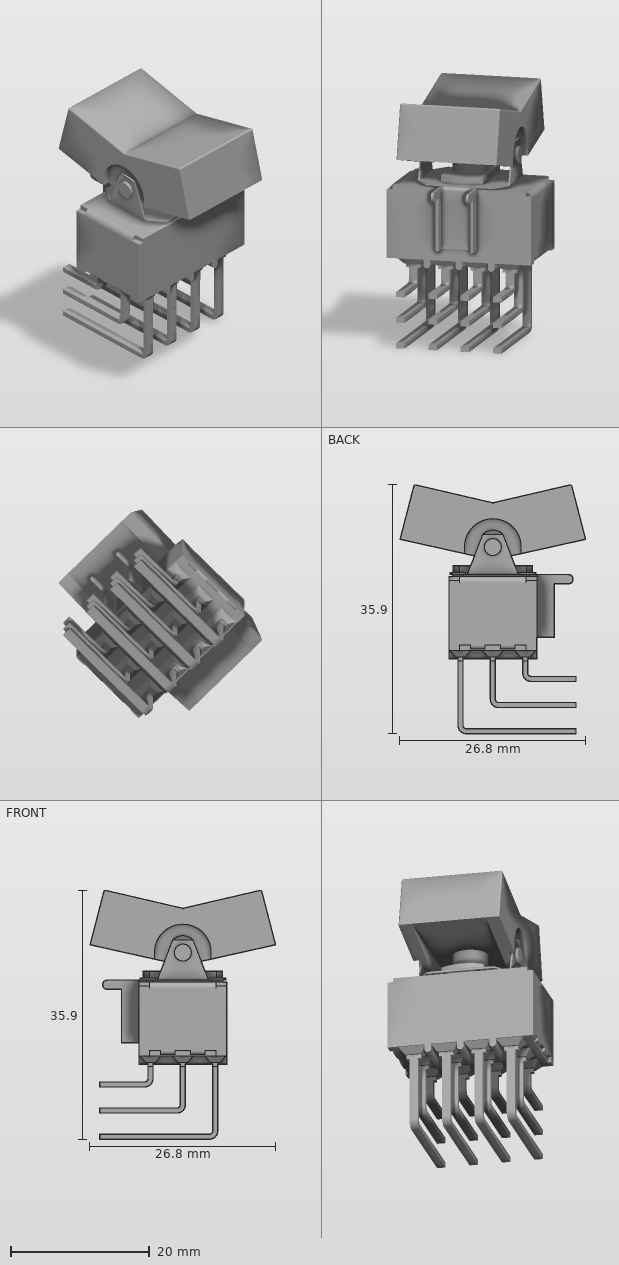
import cadquery as cq


overall_height = 35.92

body_length = 12.7
body_width = 21.6
body_bottom = 12.05
body_top = 22.65
top_edge_radius = 0.85
corner_column = 1.55
corner_notch_height = 0.57
foot_recess_depth = 0.45
foot_recess_top = 12.82
foot_tab_length = 2.1
foot_tab_offset = 2.15
foot_tab_bottom = 12.25
foot_tab_radius = 0.43

terminal_rows = 3
terminal_columns = 4
row_pitch = 4.67
column_pitch = 4.8
bend_pitch = 3.77
terminal_thickness = 0.75
terminal_width = 1.25
terminal_tip_x = -12.0
bend_inner_radius = 0.45
shoulder_width = 2.12
shoulder_bottom = 10.52
pad_bottom = 11.1
pad_top_size = (3.05, 4.02)
pad_bottom_size = (1.45, 2.37)
rib_width = 0.97
rib_bottom = 10.8
rib_bottom_radius = 0.45

clip_sheet = 0.4
clip_width = 5.6
clip_arm_x = -8.87
clip_hook_x = -11.55
clip_hook_height = 1.35
clip_hook_tip_radius = 0.65
clip_bottom = 13.9
clip_top = 23.0
clip_bend_outer_radius = 0.32
clip_bend_inner_radius = 0.25
clip_top_bend_radius = 0.57
clip_plate_half_length = 5.82
clip_plate_width = 6.97
clip_plate_chamfer = 1.58

bracket_sheet = 0.25
bracket_width = 13.72
bracket_length = 12.43
bracket_waist_width = 10.05
bracket_foot = 7.4
bracket_tip = 2.9
bracket_top = 28.77
bracket_bend_radius = 0.18
lip_top = 29.4
lip_reach = 0.43

flange_diameter = 11.5
flange_width = 6.25
flange_top = 24.28
bushing_diameter = 5.2
bushing_top = 27.6

pivot_z = 26.95
rocker_width = 14.98
rocker_tip_x = 13.4
rocker_tip_z = 28.05
rocker_peak_x = 11.35
rocker_rounding_loss = 0.05
rocker_peak_z = overall_height + rocker_rounding_loss
rocker_valley_z = 33.35
rocker_keel_z = 25.07
rocker_edge_radius = 0.25
cheek_thickness = 1.98
recess_radius = 4.1
recess_depth = 0.97
pin_diameter = 2.45
pin_reach = 7.35


def box(x_range, y_range, z_range):
    """Axis-aligned block between the given limits."""
    size = [high - low for low, high in (x_range, y_range, z_range)]
    corner = (x_range[0], y_range[0], z_range[0])
    return cq.Workplane("XY").box(*size, centered=False).translate(corner)


def both_sides(shape):
    """The shape together with its mirror image across Y = 0."""
    return shape.union(shape.mirror("XZ"))


def along_y(sketch_points, y_start, y_end):
    """Prism with an XZ outline between two Y positions."""
    outline = cq.Workplane("XZ", origin=(0, y_start, 0)).polyline(sketch_points).close()
    return outline.extrude(y_start - y_end)


def make_housing():
    half_length = body_length / 2
    half_width = body_width / 2
    panel = half_length - corner_column
    body = box((-half_length, half_length), (-half_width, half_width), (body_bottom, body_top))
    body = body.edges(">Z and |X").fillet(top_edge_radius)

    front = -half_width
    notch_floor = body_top - corner_notch_height
    notch_y = (front, front + top_edge_radius)
    for x_start in (-half_length, panel):
        column_x = (x_start, x_start + corner_column)
        column_head = box(column_x, notch_y, (body_top - top_edge_radius, notch_floor))
        notch = box(column_x, notch_y, (notch_floor, body_top))
        body = body.union(both_sides(column_head)).cut(both_sides(notch))

    foot_y = (front, front + foot_recess_depth)
    body = body.cut(both_sides(box((-panel, panel), foot_y, (body_bottom, foot_recess_top))))
    for x in (-foot_tab_offset, foot_tab_offset):
        tab_x = (x - foot_tab_length / 2, x + foot_tab_length / 2)
        tab = box(tab_x, foot_y, (foot_tab_bottom, foot_recess_top))
        tab = tab.edges("<Y and <Z").fillet(foot_tab_radius)
        body = body.union(both_sides(tab))
    return body


def make_ribs():
    """Rounded ribs under the housing, midway between the terminal columns."""
    half_length = body_length / 2
    ribs = cq.Workplane("XY")
    for gap in range(terminal_columns - 1):
        y = (gap - (terminal_columns - 2) / 2) * column_pitch
        rib = box(
            (-half_length, half_length),
            (y - rib_width / 2, y + rib_width / 2),
            (rib_bottom, body_bottom),
        )
        ribs = ribs.add(rib.edges("<Z and |X").fillet(rib_bottom_radius))
    return ribs.combine()


def make_terminal(x, foot_z):
    """One bent terminal with its shoulder and tapered pad, centred on Y = 0."""
    right = x + terminal_thickness / 2
    left = x - terminal_thickness / 2
    foot_top = foot_z + terminal_thickness
    bend_outer_radius = bend_inner_radius + terminal_thickness
    outline = [
        (left, body_bottom),
        (right, body_bottom),
        (right, foot_z),
        (terminal_tip_x, foot_z),
        (terminal_tip_x, foot_top),
        (left, foot_top),
    ]
    lead = along_y(outline, -terminal_width / 2, terminal_width / 2)
    lead = lead.edges(cq.selectors.NearestToPointSelector((right, 0, foot_z))).fillet(bend_outer_radius)
    lead = lead.edges(cq.selectors.NearestToPointSelector((left, 0, foot_top))).fillet(bend_inner_radius)

    shoulder = box(
        (left, right),
        (-shoulder_width / 2, shoulder_width / 2),
        (shoulder_bottom, body_bottom),
    )
    pad = (
        cq.Workplane("XY", origin=(x, 0, body_bottom))
        .rect(*pad_top_size)
        .workplane(offset=pad_bottom - body_bottom)
        .rect(*pad_bottom_size)
        .loft(ruled=True)
    )
    return lead.union(shoulder).union(pad)


def make_terminals():
    terminals = cq.Workplane("XY")
    for row in range(terminal_rows):
        x = (row - (terminal_rows - 1) / 2) * row_pitch
        foot_z = (terminal_rows - 1 - row) * bend_pitch
        terminal = make_terminal(x, foot_z)
        for column in range(terminal_columns):
            y = (column - (terminal_columns - 1) / 2) * column_pitch
            terminals = terminals.add(terminal.translate((0, y, 0)))
    return terminals.combine()


def make_clip():
    """U-shaped clip on the -X wall with two hooked arms, and its plate over the housing."""
    wall = -body_length / 2
    half_width = clip_width / 2
    channel = box((clip_arm_x, wall), (-half_width, half_width), (clip_bottom, clip_top))
    channel = channel.edges("|Z and >X").fillet(clip_bend_outer_radius)
    inner_half = half_width - clip_sheet
    hollow = box((clip_arm_x, wall - clip_sheet), (-inner_half, inner_half), (clip_bottom, clip_top))
    hollow = hollow.edges("|Z and >X").fillet(clip_bend_inner_radius)
    channel = channel.cut(hollow)

    bend_z = (body_top - clip_top_bend_radius, clip_top)
    channel = channel.cut(box((wall - clip_sheet, wall), (-inner_half, inner_half), bend_z))
    bridge = box((wall - clip_sheet, 0), (-inner_half, inner_half), bend_z)
    bridge = bridge.edges("|Y and <X and >Z").fillet(clip_top_bend_radius)

    hook = box(
        (clip_hook_x, clip_arm_x),
        (-half_width, -inner_half),
        (clip_top - clip_hook_height, clip_top),
    )
    hook = hook.edges("|Y and <X").fillet(clip_hook_tip_radius)

    plate = box(
        (-clip_plate_half_length, clip_plate_half_length),
        (-clip_plate_width / 2, clip_plate_width / 2),
        (body_top, clip_top),
    )
    plate = plate.edges("|Z").chamfer(clip_plate_chamfer)
    return channel.union(both_sides(hook)).union(plate).union(bridge)


def make_bracket():
    """Sheet strap over the clip plate with a tapered, outward-lipped upright at each end."""
    half_length = bracket_length / 2
    half_width = bracket_width / 2
    half_waist = bracket_waist_width / 2
    half_foot = bracket_foot / 2
    half_tip = bracket_tip / 2
    base_points = [
        (half_length, -half_waist),
        (half_length, half_waist),
        (half_foot, half_width),
        (-half_foot, half_width),
        (-half_length, half_waist),
        (-half_length, -half_waist),
        (-half_foot, -half_width),
        (half_foot, -half_width),
    ]
    base = cq.Workplane("XY", origin=(0, 0, clip_top)).polyline(base_points).close()
    base = base.extrude(bracket_sheet)
    upright_points = [
        (-half_foot, clip_top),
        (half_foot, clip_top),
        (half_tip, bracket_top),
        (-half_tip, bracket_top),
    ]
    upright = along_y(upright_points, -half_width, -half_width + bracket_sheet)
    upright = upright.edges("<Y and <Z").fillet(bracket_bend_radius)
    base = base.intersect(box(
        (-half_length, half_length),
        (-half_width + bracket_bend_radius, half_width - bracket_bend_radius),
        (clip_top, bracket_top),
    ))

    lip_outline = (
        cq.Workplane("XZ", origin=(0, -half_width + bracket_sheet, 0))
        .moveTo(-half_tip, bracket_top)
        .threePointArc((0, lip_top), (half_tip, bracket_top))
        .close()
        .extrude(bracket_sheet + lip_reach)
    )
    lip_sheet = (
        cq.Workplane("YZ", origin=(-half_tip, 0, 0))
        .moveTo(-half_width, bracket_top)
        .lineTo(-half_width - lip_reach, lip_top)
        .lineTo(-half_width - lip_reach + bracket_sheet, lip_top)
        .lineTo(-half_width + bracket_sheet, bracket_top)
        .close()
        .extrude(bracket_tip)
    )
    upright = upright.union(lip_outline.intersect(lip_sheet))
    return base.union(both_sides(upright))


def make_bushing():
    """Barrel on a round flange that is trimmed flat on both Y sides."""
    base_z = clip_top
    flange = cq.Workplane("XY", origin=(0, 0, base_z)).circle(flange_diameter / 2)
    flange = flange.extrude(flange_top - base_z)
    trim = box(
        (-flange_diameter, flange_diameter),
        (-flange_width / 2, flange_width / 2),
        (base_z, flange_top),
    )
    barrel = cq.Workplane("XY", origin=(0, 0, base_z)).circle(bushing_diameter / 2)
    barrel = barrel.extrude(bushing_top - base_z)
    return flange.intersect(trim).union(barrel)


def make_rocker():
    """V-shaped rocker with two cheeks, each recessed around the pivot."""
    half_width = rocker_width / 2
    outline = [
        (0, rocker_keel_z),
        (rocker_tip_x, rocker_tip_z),
        (rocker_peak_x, rocker_peak_z),
        (0, rocker_valley_z),
        (-rocker_peak_x, rocker_peak_z),
        (-rocker_tip_x, rocker_tip_z),
    ]
    rocker = along_y(outline, -half_width, half_width)
    upper_edges = cq.selectors.BoxSelector(
        (-rocker_tip_x, -rocker_width, rocker_tip_z + rocker_edge_radius),
        (rocker_tip_x, rocker_width, rocker_peak_z + rocker_edge_radius),
    )
    valley = cq.selectors.BoxSelector(
        (-rocker_edge_radius, -rocker_edge_radius, rocker_keel_z),
        (rocker_edge_radius, rocker_edge_radius, rocker_peak_z),
    )
    rocker = rocker.edges(upper_edges - valley).fillet(rocker_edge_radius)

    channel_half = half_width - cheek_thickness
    channel = box(
        (-rocker_tip_x, rocker_tip_x),
        (-channel_half, channel_half),
        (rocker_keel_z, rocker_tip_z),
    )
    rocker = rocker.cut(channel)

    recess_floor = -half_width + recess_depth
    recess = (
        cq.Workplane("XZ", origin=(0, recess_floor, 0))
        .moveTo(-recess_radius, rocker_keel_z)
        .lineTo(-recess_radius, pivot_z)
        .threePointArc((0, pivot_z + recess_radius), (recess_radius, pivot_z))
        .lineTo(recess_radius, rocker_keel_z)
        .close()
        .extrude(recess_depth)
    )
    pin = cq.Workplane("XZ", origin=(0, -channel_half, pivot_z)).circle(pin_diameter / 2)
    pin = pin.extrude(pin_reach - channel_half)
    return rocker.cut(both_sides(recess)).union(both_sides(pin))


result = (
    make_housing()
    .union(make_ribs())
    .union(make_terminals())
    .union(make_clip())
    .union(make_bracket())
    .union(make_bushing())
    .union(make_rocker())
)